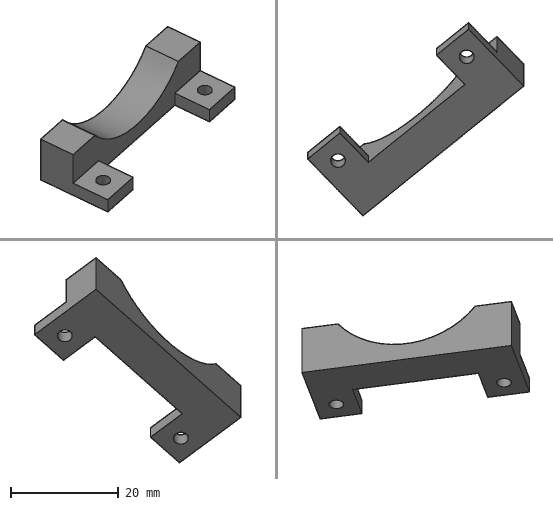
import cadquery as cq

length = 40.0
height = 10.0
wall_thickness = 7.5

tab_size = 8.0
tab_thickness = 3.0
hole_diameter = 2.7

saddle_radius = 16.5
saddle_axis_height = 2 * height


def make_wall():
    """Upright wall with the round saddle cut across its thickness."""
    wall = cq.Workplane("XY").box(wall_thickness, length, height, centered=(False, True, False))
    saddle = (
        cq.Workplane("YZ")
        .center(0, saddle_axis_height)
        .circle(saddle_radius)
        .extrude(wall_thickness)
    )
    return wall.cut(saddle)


def make_tab(y_center):
    """Square tab on the +X side of the wall with a central through hole."""
    return (
        cq.Workplane("XY")
        .center(wall_thickness + tab_size / 2, y_center)
        .rect(tab_size, tab_size)
        .circle(hole_diameter / 2)
        .extrude(tab_thickness)
    )


result = make_wall()
for side in (-1, 1):
    result = result.union(make_tab(side * (length - tab_size) / 2))